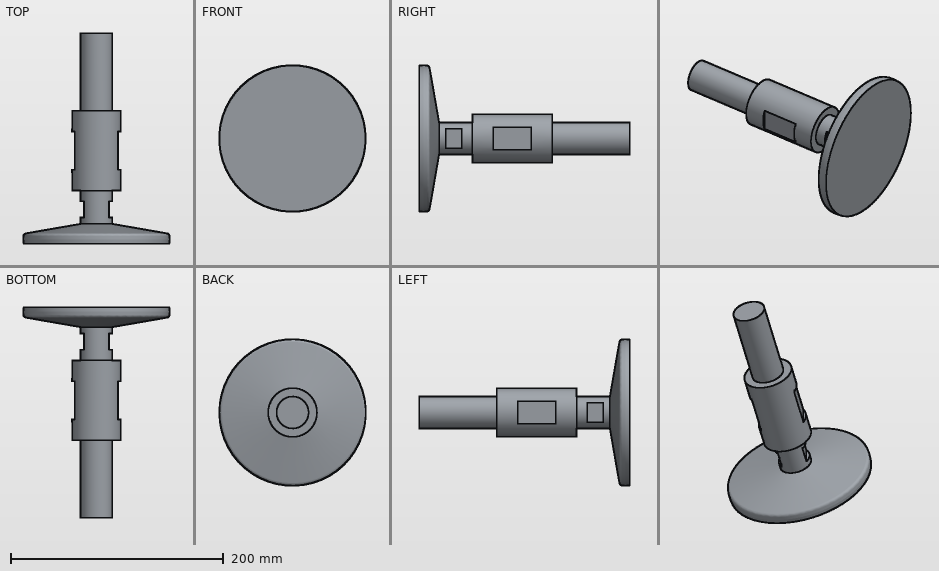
import cadquery as cq

total_length = 198.0

plate_diameter = 138.0
rim_draft = 0.4
widest_height = 4.2
rim_height = 9.5
rim_fillet = 3.0
cone_top = 18.8

spindle_diameter = 30.0
spindle_flat_start = 24.8
spindle_flat_length = 15.0
spindle_across_flats = 23.8

sleeve_diameter = 46.0
sleeve_start = 50.0
sleeve_length = 75.0
sleeve_flat_length = 35.8
sleeve_flat_start = sleeve_start + (sleeve_length - sleeve_flat_length) / 2
sleeve_across_flats = 40.8


def rod(diameter, start, length):
    """Cylinder along Y, beginning at Y = start."""
    plane = cq.Workplane("XZ", origin=(0, start, 0))
    return plane.circle(diameter / 2).extrude(-length)


def cut_wrench_flats(body, diameter, across_flats, start, length):
    """Cut a pair of flats facing -X and +X into a round body."""
    depth = (diameter - across_flats) / 2
    for side in (-1, 1):
        middle_x = side * (across_flats + depth) / 2
        cutter = cq.Workplane("XY").box(depth, length, diameter)
        body = body.cut(cutter.translate((middle_x, start + length / 2, 0)))
    return body


def make_plate():
    """Conical plate with a drafted rim and a rounded upper edge."""
    plate_radius = plate_diameter / 2
    edge_radius = plate_radius - rim_draft
    plate = (
        cq.Workplane("XY")
        .moveTo(0, 0)
        .lineTo(edge_radius, 0)
        .lineTo(plate_radius, widest_height)
        .lineTo(edge_radius, rim_height)
        .lineTo(spindle_diameter / 2, cone_top)
        .lineTo(0, cone_top)
        .close()
        .revolve(360, (0, 0, 0), (0, 1, 0))
    )
    edge_finder = cq.selectors.BoxSelector(
        (-plate_diameter, widest_height + rim_draft, -plate_diameter),
        (plate_diameter, cone_top - rim_draft, plate_diameter),
        boundingbox=True,
    )
    return plate.edges("%CIRCLE").edges(edge_finder).fillet(rim_fillet)


def make_foot():
    """Plate and spindle in one piece, with wrench flats on the spindle."""
    spindle = rod(spindle_diameter, cone_top, total_length - cone_top)
    spindle = cut_wrench_flats(
        spindle, spindle_diameter, spindle_across_flats, spindle_flat_start, spindle_flat_length
    )
    return make_plate().union(spindle)


def make_sleeve():
    """Sleeve bored to fit the spindle, with wrench flats at mid-length."""
    sleeve = rod(sleeve_diameter, sleeve_start, sleeve_length)
    bore = rod(spindle_diameter, sleeve_start, sleeve_length)
    return cut_wrench_flats(
        sleeve.cut(bore), sleeve_diameter, sleeve_across_flats, sleeve_flat_start, sleeve_flat_length
    )


foot = make_foot()
sleeve = make_sleeve()

result = cq.Compound.makeCompound([foot.solids().val(), sleeve.solids().val()])